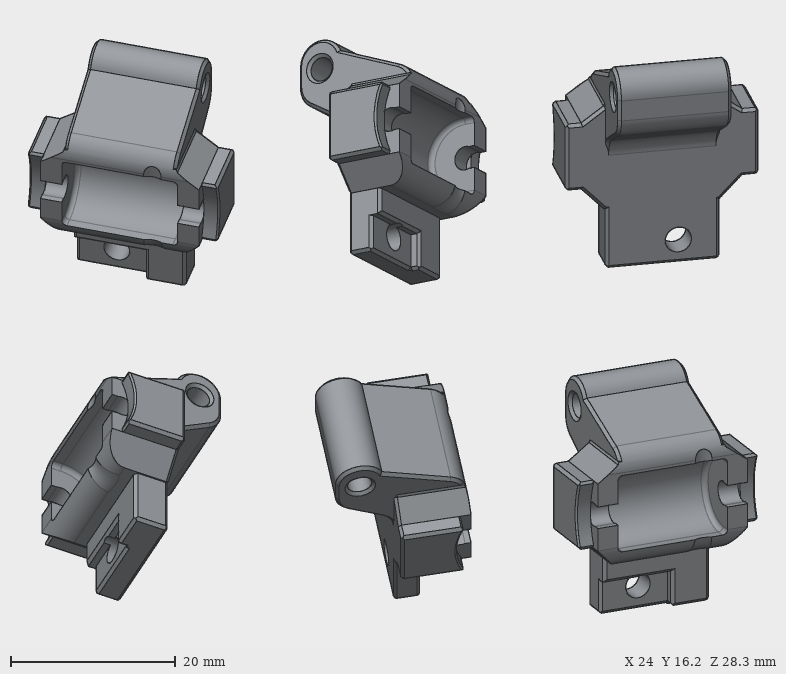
import cadquery as cq
import math


total_width = 24.0
total_depth = 16.17
total_height = 28.3
edge_chamfer = 0.4
round_radius = 3.0

axle_y = 1.27
axle_z = 15.12
axle_diameter = 3.0
axle_mouth_height = 2.8
cavity_radius = 4.98
cavity_length = 14.66
cavity_corner_radius = 0.65

block_width = 20.05
block_depth = 9.0
block_bottom = 7.79
bottom_slope_width = 2.85
wing_height = 8.78
shoulder_inner_width = 14.5
shoulder_rise = 1.98
shoulder_tip_rise = 0.3
round_above_wing = 0.95
wing_front_y = 2.15
wing_front_radius = 10.0
wing_front_chamfer = 0.23

groove_x = 4.13
groove_radius = 2.5
groove_depth = 0.25

arm_width = 14.15
hinge_hole_drop = 3.7
hinge_hole_diameter = 3.0
arm_top_angle = 21.0
arm_under_angle = 30.0
arm_back_corner_z = 20.92

tab_width = 14.15
tab_center_x = -0.05
tab_front_y = 4.5
tab_hole_diameter = 3.25
tab_hole_x = -2.0
tab_hole_z = 3.03
pocket_right_x = 1.95
pocket_height = 4.53
pocket_depth = 1.25

wing_bottom = axle_z - wing_height / 2
wing_top = axle_z + wing_height / 2
shoulder_z = wing_top + shoulder_rise
shoulder_tip_z = shoulder_z + shoulder_tip_rise
top_round_z = wing_top + round_above_wing
hinge_y = total_depth - round_radius
hinge_round_z = total_height - round_radius
back_y = block_depth
tab_left = tab_center_x - tab_width / 2
tab_right = tab_center_x + tab_width / 2

reach = 2 * total_height
selection_margin = 0.15


def box(x_range, y_range, z_range):
    """Box given by its limits along each axis."""
    (x0, x1), (y0, y1), (z0, z1) = x_range, y_range, z_range
    return cq.Workplane("XY").box(x1 - x0, y1 - y0, z1 - z0, centered=False).translate((x0, y0, z0))


def rod_x(radius, length, y, z):
    """Cylinder along X, centred on the middle plane."""
    return cq.Workplane("YZ").center(y, z).circle(radius).extrude(length / 2, both=True)


def rod_y(radius, x, z):
    """Long cylinder along Y."""
    return cq.Workplane("XZ").center(x, z).circle(radius).extrude(reach, both=True)


def bevel_tool(corners, depth):
    """Diamond prisms from the front plane back, bevelling corners (x, z) by the edge chamfer."""
    diamonds = cq.Workplane("XZ").pushPoints(corners).polygon(4, 2 * edge_chamfer)
    return diamonds.extrude(-depth)


def on_circle(center_y, center_z, radius, angle):
    """Point (y, z) on a circle, the angle in degrees from +Y towards +Z."""
    a = math.radians(angle)
    return center_y + radius * math.cos(a), center_z + radius * math.sin(a)


def make_groove():
    """Shallow vertical groove, cut by an upright cylinder ahead of the front face."""
    axis_y = groove_depth - groove_radius
    return cq.Workplane("XY").center(groove_x, axis_y).circle(groove_radius).extrude(total_height)


def make_arm():
    """Side outline of the arm, extruded across X with chamfered rims."""
    front_normal = 90 + arm_top_angle
    front_round = (round_radius, top_round_z, round_radius)
    slope_start = on_circle(*front_round, front_normal)
    slope = math.tan(math.radians(arm_top_angle))

    line_z = slope_start[1] + slope * (hinge_y - slope_start[0]) - hinge_round_z
    distance = line_z * math.cos(math.radians(arm_top_angle))
    meet_angle = front_normal + math.degrees(math.acos(distance / round_radius))
    hinge_round = (hinge_y, hinge_round_z, round_radius)

    under = math.radians(arm_under_angle)
    corner_setback = round_radius * math.tan((math.pi / 2 - under) / 2)
    outer_round = (hinge_y, arm_back_corner_z + corner_setback, round_radius)
    root_corner_z = arm_back_corner_z - (total_depth - back_y) * math.tan(under)
    root_round = (back_y + round_radius, root_corner_z - corner_setback, round_radius)
    under_normal = arm_under_angle - 90

    outline = (
        cq.Workplane("YZ")
        .moveTo(0, axle_z)
        .lineTo(0, top_round_z)
        .threePointArc(on_circle(*front_round, (180 + front_normal) / 2), slope_start)
        .lineTo(*on_circle(*hinge_round, meet_angle))
        .threePointArc(on_circle(*hinge_round, meet_angle / 2), on_circle(*hinge_round, 0))
        .lineTo(*on_circle(*outer_round, 0))
        .threePointArc(on_circle(*outer_round, under_normal / 2), on_circle(*outer_round, under_normal))
        .lineTo(*on_circle(*root_round, 180 + under_normal))
        .threePointArc(on_circle(*root_round, 180 + under_normal / 2), on_circle(*root_round, 180))
        .lineTo(tab_front_y, root_round[1])
        .close()
    )
    arm = outline.extrude(arm_width / 2, both=True)
    hole_z = total_height - hinge_hole_drop
    arm = arm.cut(rod_x(hinge_hole_diameter / 2, reach, hinge_y, hole_z))
    return arm.faces("<X or >X").chamfer(edge_chamfer).cut(make_groove())


def make_block():
    """Grooved slab with rounded front edges, trimmed to sloped shoulders."""
    half = block_width / 2
    slab = box((-half, half), (0, back_y), (block_bottom, top_round_z + round_radius))
    slab = slab.faces(">Z").edges("<Y").fillet(round_radius)
    slab = slab.cut(make_groove())
    bottom_front = cq.selectors.BoxSelector(
        (-reach, -selection_margin, block_bottom - selection_margin),
        (reach, groove_depth + selection_margin, block_bottom + selection_margin),
    )
    slab = slab.edges(bottom_front).edges("not(|Y)").fillet(round_radius)

    right_side = [
        (half - bottom_slope_width, block_bottom),
        (half, wing_bottom),
        (half, wing_top),
        (shoulder_inner_width / 2, shoulder_z),
        (arm_width / 2, shoulder_tip_z),
    ]
    left_side = [(-x, z) for x, z in reversed(right_side)]
    trim = cq.Workplane("XZ").polyline(right_side + left_side).close().extrude(reach, both=True)
    return slab.intersect(trim)


def make_wings():
    """Flat wings with hollow cylindrical front faces."""
    half = total_width / 2
    wings = box((-half, half), (0, back_y), (wing_bottom, wing_top))
    wings = wings.cut(rod_x(wing_front_radius, reach, wing_front_y - wing_front_radius, axle_z))
    wings = wings.edges("|X and <Y").chamfer(edge_chamfer)
    front_rims = wings.faces("%CYLINDER").edges("%CIRCLE")
    return front_rims.chamfer(wing_front_chamfer)


def make_tab():
    """Mounting tab with a pocket in its lower corner and chamfered front rims."""
    tab = box((tab_left, tab_right), (tab_front_y, back_y), (0, axle_z))
    floor_y = tab_front_y + pocket_depth
    tab = tab.cut(box((tab_left, pocket_right_x), (0, floor_y), (0, pocket_height)))
    tab = tab.faces("<Y").edges("not >Z").chamfer(edge_chamfer)
    pocket_floor = tab.faces(
        cq.selectors.BoxSelector(
            (tab_left, floor_y - selection_margin, 0),
            (pocket_right_x, floor_y + selection_margin, pocket_height),
        )
    )
    tab = pocket_floor.edges("<X or <Z").chamfer(edge_chamfer)
    return tab.cut(bevel_tool([(pocket_right_x, 0)], floor_y))


def make_cavity():
    """Roller cavity: half round at the back, straight to the front, with rounded ends."""
    mouth = box(
        (-cavity_length / 2, cavity_length / 2),
        (-cavity_radius, axle_y),
        (axle_z - cavity_radius, axle_z + cavity_radius),
    )
    cavity = rod_x(cavity_radius, cavity_length, axle_y, axle_z).union(mouth)
    return cavity.faces("<X or >X").edges().fillet(cavity_corner_radius)


def make_axle_seat():
    """Round seat with a slightly narrower mouth, so the axle snaps in."""
    half = block_width / 2
    half_mouth = axle_mouth_height / 2
    mouth = box((-half, half), (-cavity_radius, axle_y), (axle_z - half_mouth, axle_z + half_mouth))
    return rod_x(axle_diameter / 2, block_width, axle_y, axle_z).union(mouth)


base = make_block().union(make_wings()).union(make_tab())
base = base.faces(">Y").chamfer(edge_chamfer)
wing_ends = [(x, z) for x in (-total_width / 2, total_width / 2) for z in (wing_bottom, wing_top)]
tab_ends = [(tab_left, 0), (tab_right, 0)]
base = base.cut(bevel_tool(wing_ends + tab_ends, back_y))

result = base.union(make_arm())
result = result.cut(make_cavity()).cut(make_axle_seat())
result = result.cut(rod_y(tab_hole_diameter / 2, tab_hole_x, tab_hole_z))